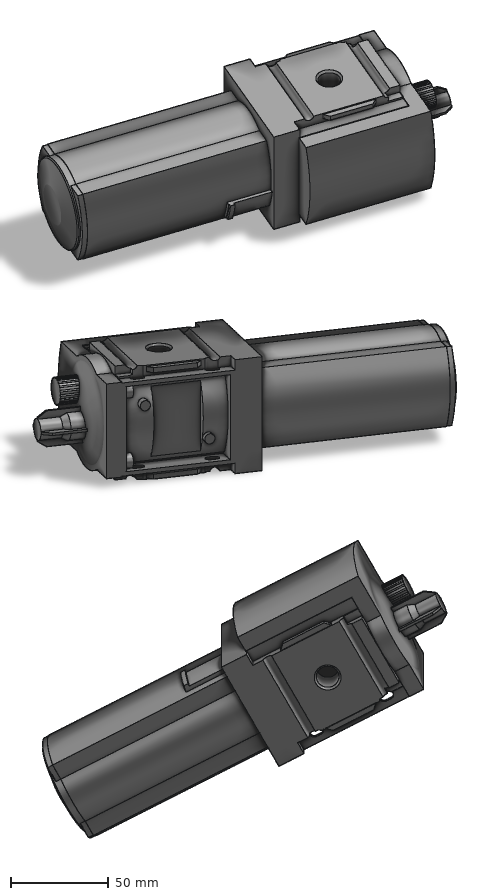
import cadquery as cq
import math

head_width = 62.0
half_width = head_width / 2
overall_width = 75.7
collar_length = 14.7
head_length = 84.5
back_plate_start = 76.1
ledge_half_height = 25.3
plate_half_height = 25.8
back_disc_radius = 30.0
dome_radius = 27.0
dome_height = 3.5
dome_shoulder_height = 2.7

pad_half_width = 24.2
pad_back_half_width = 20.0
pad_back_step_start = 67.7
pad_back_step_z = 26.5
groove_width = 5.0
groove_depth = 2.0
groove_positions = (23.0, 67.7)
port_y = 45.3
port_diameter = 11.5
port_mouth_diameter = 13.8
port_depth = 15.5
port_chamfer = (port_mouth_diameter - port_diameter) / 2
tab_half_width = 27.0
tab_start = 30.9
tab_end = 60.5
tab_bottom_z = 27.5
tab_drop = 0.7
slot_center_x = -25.3
slot_width = 4.7
slot_length = 7.5
slot_positions = (25.0, 66.0)

window_start = 17.3
window_end = 73.7
window_half_height = 23.0
window_depth = 10.9
core_half_height = 21.5
flat_start = 30.9
flat_end = 57.7
flat_half_height = 19.0
pin_diameter = 5.5
pin_tip_x = -29.7
pin_length = 6.7
pin_positions = ((63.0, 11.0), (28.0, -10.9))
catch_start = 69.5
catch_radius = 4.0
catch_center_x = -25.8

cover_start = 14.2
cover_edge_x = 39.7
cover_crown_x = overall_width - half_width

bowl_diameter = 50.8
bowl_radius = bowl_diameter / 2
cap_diameter = 50.5
cap_radius = cap_diameter / 2
cap_inset = bowl_radius - cap_radius
cap_chamfer = 0.7
guard_half_width = 27.8
guard_corner_x = 22.0
guard_half_height = 21.8
cap_start = 103.5
guard_end = 106.3
bowl_straight_end = 108.0
bowl_end = 110.5
bowl_tip_radius = 10.9

latch_length = 24.6
latch_bead_start = 21.5
latch_bead_end = 24.2
latch_top_z = -7.0
latch_bottom_z = -18.9
latch_thickness = 2.0
latch_bead_thickness = 3.3

knob_z = -6.0
knob_end = 111.5
knob_half_span = 9.8
knob_chamfer_width = 3.3
knob_chamfer_length = 4.9
knob_rib = 1.3
knob_base_radius = 7.5
knob_stem_radius = 5.8
knob_cone_start = 95.7
knob_cone_end = 99.5

plug_offset = 10.0
plug_radius = 7.3
plug_end = 98.0
knurl_count = 20
knurl_diameter = 0.9

guard_sag = guard_half_width - guard_corner_x
guard_radius = (guard_half_height**2 + guard_sag**2) / (2 * guard_sag)
guard_center_x = guard_half_width - guard_radius


def box(x_min, x_max, y_min, y_max, z_min, z_max):
    size = (x_max - x_min, y_max - y_min, z_max - z_min)
    return cq.Workplane("XY").box(*size, centered=False).translate((x_min, y_min, z_min))


def rod(radius, y_min, y_max, x=0, z=0):
    """Round bar parallel to Y."""
    return cq.Workplane("XZ", origin=(x, y_min, z)).circle(radius).extrude(y_min - y_max)


def both_z_faces(shape):
    return shape.union(shape.mirror("XY"))


def guard_prism(y_min, y_max, inset=0.0):
    """Bowl guard section: two flat sides in Z and two bulging sides in X."""
    profile = (
        cq.Workplane("XZ", origin=(0, y_min, 0))
        .moveTo(-guard_corner_x, guard_half_height)
        .lineTo(guard_corner_x, guard_half_height)
        .threePointArc((guard_half_width, 0), (guard_corner_x, -guard_half_height))
        .lineTo(-guard_corner_x, -guard_half_height)
        .threePointArc((-guard_half_width, 0), (-guard_corner_x, guard_half_height))
        .close()
    )
    if inset:
        profile = profile.offset2D(-inset)
    return profile.extrude(y_min - y_max)


def make_head():
    collar = box(-half_width, half_width, 0, collar_length, -half_width, half_width)
    core = box(-half_width, half_width, 0, back_plate_start, -ledge_half_height, ledge_half_height)
    back_plate = box(
        -half_width, half_width, back_plate_start, head_length, -plate_half_height, plate_half_height
    )
    back_disc = rod(back_disc_radius, back_plate_start, head_length)
    dome = (
        cq.Workplane("XY", origin=(0, head_length, 0))
        .lineTo(dome_radius, 0)
        .threePointArc((dome_radius / 2, dome_shoulder_height), (0, dome_height))
        .close()
        .revolve(360, (0, 0), (0, 1))
    )
    return collar.union(core).union(back_plate).union(back_disc).union(dome)


def make_cover():
    return (
        cq.Workplane("XZ", origin=(0, cover_start, 0))
        .moveTo(pad_half_width, -plate_half_height)
        .lineTo(cover_edge_x, -plate_half_height)
        .threePointArc((cover_crown_x, 0), (cover_edge_x, plate_half_height))
        .lineTo(pad_half_width, plate_half_height)
        .close()
        .extrude(cover_start - head_length)
        .cut(box(0, half_width, 0, back_plate_start, -half_width, half_width))
    )


def make_pad():
    pad = box(-pad_half_width, pad_half_width, collar_length, back_plate_start, 0, half_width)
    corner = box(
        pad_back_half_width, half_width, pad_back_step_start, back_plate_start, pad_back_step_z, half_width
    )
    pad = pad.cut(corner).cut(corner.mirror("YZ"))
    tab_reach = tab_half_width - pad_half_width
    tabs = (
        cq.Workplane("XY", origin=(0, 0, tab_bottom_z))
        .moveTo(0, (tab_start + tab_end) / 2)
        .rect(2 * tab_half_width, tab_end - tab_start)
        .extrude(half_width - tab_drop - tab_bottom_z)
        .edges("|Z")
        .chamfer(tab_reach)
    )
    return pad.union(tabs)


def make_groove(y):
    """Shallow rounded channel across the top of a pad."""
    return (
        cq.Workplane("YZ", origin=(-pad_half_width, 0, 0))
        .moveTo(y - groove_width / 2, half_width)
        .threePointArc((y, half_width - groove_depth), (y + groove_width / 2, half_width))
        .close()
        .extrude(2 * pad_half_width)
    )


def make_slot(y):
    """Opening through the ledge beside the pad, down into the side window."""
    return (
        cq.Workplane("XY", origin=(slot_center_x, y, core_half_height))
        .slot2D(slot_length, slot_width, 90)
        .extrude(half_width - core_half_height)
    )


def make_port():
    """Blind port with a small countersink at its mouth."""
    hole = (
        cq.Workplane("XY", origin=(0, port_y, half_width - port_depth))
        .circle(port_diameter / 2)
        .extrude(port_depth)
    )
    mouth = cq.Workplane("XY").add(
        cq.Solid.makeCone(
            port_diameter / 2, port_mouth_diameter / 2, port_chamfer,
            cq.Vector(0, port_y, half_width - port_chamfer),
        )
    )
    return hole.union(mouth)


def make_window():
    """Side pocket that leaves a bulging core with a flat on it."""
    pocket_floor = window_depth - half_width
    pocket = box(
        -half_width, pocket_floor, window_start, window_end, -window_half_height, window_half_height
    )
    core_band = box(-half_width, 0, window_start, window_end, -core_half_height, core_half_height)
    core = guard_prism(window_start, window_end).intersect(core_band)
    flat_x = -guard_center_x - math.sqrt(guard_radius**2 - flat_half_height**2)
    flat = box(-half_width, flat_x, flat_start, flat_end, -flat_half_height, flat_half_height)
    return pocket.cut(core).union(flat)


def make_pins():
    pins = cq.Workplane("XY")
    for y, z in pin_positions:
        pin = cq.Workplane("YZ", origin=(pin_tip_x, y, z)).circle(pin_diameter / 2).extrude(pin_length)
        pins = pins.union(pin)
    return pins


def make_catches():
    """Round-nosed catches in the two back corners of the window."""
    center_z = window_half_height - catch_radius
    nose = rod(catch_radius, catch_start, window_end, catch_center_x, center_z)
    shank = box(
        catch_center_x, window_depth - half_width, catch_start, window_end,
        center_z - catch_radius, window_half_height,
    )
    return both_z_faces(nose.union(shank))


def make_bowl():
    guard = guard_prism(-cap_start, 0).union(guard_prism(-guard_end, -cap_start, cap_inset))
    body = (
        cq.Workplane("XY")
        .lineTo(bowl_radius, 0)
        .lineTo(bowl_radius, -cap_start)
        .lineTo(cap_radius, -cap_start)
        .lineTo(cap_radius, cap_chamfer - bowl_straight_end)
        .lineTo(cap_radius - cap_chamfer, -bowl_straight_end)
        .lineTo(bowl_tip_radius, -bowl_end)
        .lineTo(0, -bowl_end)
        .close()
        .revolve(360, (0, 0), (0, 1))
    )
    return guard.union(body)


def make_latch():
    """Thin strip that follows the guard, with a thicker bead near its free end."""
    strip = rod(guard_radius + latch_thickness, -latch_length, 0, x=guard_center_x)
    bead = rod(
        guard_radius + latch_bead_thickness, -latch_bead_end, -latch_bead_start, x=guard_center_x
    )
    band = box(0, half_width, -latch_length, 0, latch_bottom_z, latch_top_z)
    return strip.union(bead).intersect(band)


def make_knob():
    """Stepped stem with two crossed ribs, chamfered at the free end."""
    stem = (
        cq.Workplane("XY", origin=(0, 0, knob_z))
        .moveTo(0, head_length)
        .lineTo(knob_base_radius, head_length)
        .lineTo(knob_base_radius, knob_cone_start)
        .lineTo(knob_stem_radius, knob_cone_end)
        .lineTo(knob_stem_radius, knob_end)
        .lineTo(0, knob_end)
        .close()
        .revolve(360, (0, 0), (0, 1))
    )
    rib = (
        cq.Workplane("XY", origin=(0, 0, knob_z - knob_rib / 2))
        .moveTo(-knob_half_span, head_length)
        .lineTo(knob_half_span, head_length)
        .lineTo(knob_half_span, knob_end - knob_chamfer_length)
        .lineTo(knob_half_span - knob_chamfer_width, knob_end)
        .lineTo(knob_chamfer_width - knob_half_span, knob_end)
        .lineTo(-knob_half_span, knob_end - knob_chamfer_length)
        .close()
        .extrude(knob_rib)
    )
    crossed_rib = rib.rotate((0, 0, knob_z), (0, 1, knob_z), 90)
    return stem.union(rib).union(crossed_rib)


def make_plug():
    plug = rod(plug_radius, head_length, plug_end, plug_offset, plug_offset)
    flutes = (
        cq.Workplane("XZ", origin=(plug_offset, plug_end, plug_offset))
        .polarArray(plug_radius, 0, 360, knurl_count)
        .circle(knurl_diameter / 2)
        .extrude(plug_end - head_length)
    )
    return plug.cut(flutes)


head = make_head().union(make_cover()).union(both_z_faces(make_pad()))
for groove_y in groove_positions:
    head = head.cut(both_z_faces(make_groove(groove_y)))
head = head.cut(make_window())
for slot_y in slot_positions:
    head = head.cut(both_z_faces(make_slot(slot_y)))
head = head.cut(both_z_faces(make_port()))
head = head.union(make_pins()).union(make_catches())

result = head.union(make_bowl()).union(make_latch()).union(make_knob()).union(make_plug())